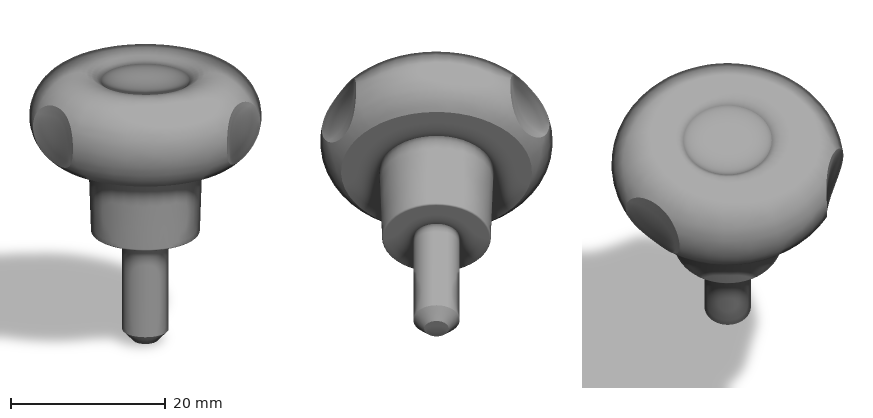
import cadquery as cq
import math

total_height = 37.0
hub_bottom = 15.0
knob_bottom = 26.0

knob_diameter = 30.0
ring_section_radius = 6.0
recess_depth = 1.0

hub_top_radius = 7.4
hub_bottom_radius = 7.03
hub_edge_fillet = 0.22
pin_radius = 3.0
pin_tip_radius = 1.6
pin_chamfer_height = 1.48

grip_count = 3
first_grip_angle = -90.0
grip_radius = 15.0
grip_inner_distance = 13.45

knob_radius = knob_diameter / 2
ring_center_radius = knob_radius - ring_section_radius
ring_center_height = total_height - ring_section_radius
recess_height = total_height - recess_depth


def ring_half_width(height):
    """Half the radial width of the ring section at the given height."""
    return math.sqrt(ring_section_radius**2 - (height - ring_center_height) ** 2)


def make_knob():
    base_radius = ring_center_radius + ring_half_width(knob_bottom)
    recess_radius = ring_center_radius - ring_half_width(recess_height)
    return (
        cq.Workplane("XZ")
        .moveTo(0, knob_bottom)
        .lineTo(base_radius, knob_bottom)
        .threePointArc((knob_radius, ring_center_height), (recess_radius, recess_height))
        .lineTo(0, recess_height)
        .close()
        .revolve(360, (0, 0), (0, 1))
    )


def make_hub():
    hub = (
        cq.Workplane("XY", origin=(0, 0, hub_bottom))
        .circle(hub_bottom_radius)
        .workplane(offset=knob_bottom - hub_bottom)
        .circle(hub_top_radius)
        .loft(ruled=True)
    )
    return hub.faces("<Z").edges().fillet(hub_edge_fillet)


def make_pin():
    pin = cq.Workplane("XY").circle(pin_radius).extrude(hub_bottom)
    return pin.faces("<Z").chamfer(pin_chamfer_height, pin_radius - pin_tip_radius)


def make_grip_cutters():
    """Upright cylinders whose sides hollow out the rim."""
    return (
        cq.Workplane("XY", origin=(0, 0, knob_bottom))
        .polarArray(grip_inner_distance + grip_radius, first_grip_angle, 360, grip_count)
        .circle(grip_radius)
        .extrude(total_height - knob_bottom)
    )


result = make_knob().cut(make_grip_cutters()).union(make_hub()).union(make_pin())